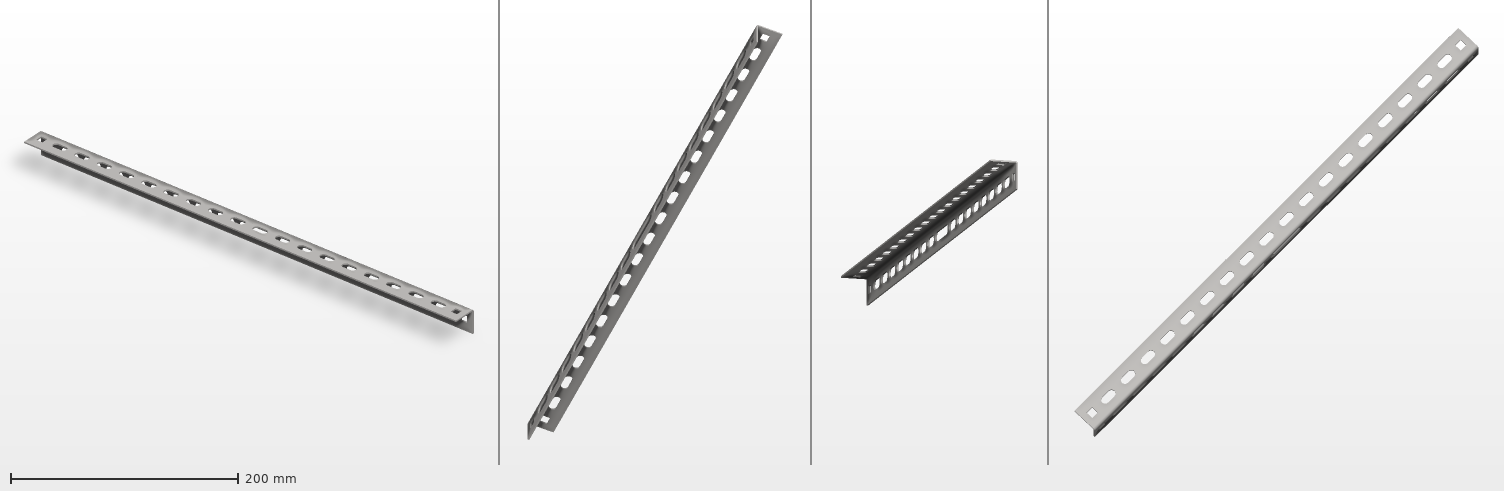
import cadquery as cq

length = 485.0
leg = 25.0
thickness = 1.5
inner_bend_radius = 1.0
outer_bend_radius = inner_bend_radius + thickness

slot_pitch = 25.0
slot_width_top = 7.0
slot_length_top = 15.0
slot_count_top = 18
slot_width_side = 9.0
slot_length_side = 20.0
slots_per_half_side = 8
long_slot_length = 40.0
slot_gap_side = slot_pitch - slot_length_side
end_hole_size = 7.0
end_hole_inset = 9.75

half_leg = leg / 2
end_hole_x = length / 2 - end_hole_inset


def angle_bar():
    """L-shaped bar along X: one leg on top, the other hanging at the +Y edge."""
    outline = (
        cq.Workplane("YZ")
        .moveTo(-half_leg, half_leg)
        .lineTo(half_leg - outer_bend_radius, half_leg)
        .radiusArc((half_leg, half_leg - outer_bend_radius), outer_bend_radius)
        .lineTo(half_leg, -half_leg)
        .lineTo(half_leg - thickness, -half_leg)
        .lineTo(half_leg - thickness, half_leg - outer_bend_radius)
        .radiusArc((half_leg - outer_bend_radius, half_leg - thickness), -inner_bend_radius)
        .lineTo(-half_leg, half_leg - thickness)
        .close()
    )
    return outline.extrude(length / 2, both=True)


def end_hole_cutter(leg_plane):
    """Square holes, one near each end of a leg."""
    points = [(-end_hole_x, 0), (end_hole_x, 0)]
    return leg_plane.pushPoints(points).rect(end_hole_size, end_hole_size).extrude(thickness)


def slot_cutter(leg_plane, centres_x, slot_length, slot_width):
    """Round-ended slots along the middle line of a leg."""
    points = [(x, 0) for x in centres_x]
    return leg_plane.pushPoints(points).slot2D(slot_length, slot_width).extrude(thickness)


def cut_top_leg(bar):
    """Evenly spaced short slots and the end holes of the horizontal leg."""
    plane = cq.Workplane("XY", origin=(0, 0, half_leg - thickness))
    first_x = -slot_pitch * (slot_count_top - 1) / 2
    centres_x = [first_x + slot_pitch * i for i in range(slot_count_top)]
    bar = bar.cut(slot_cutter(plane, centres_x, slot_length_top, slot_width_top))
    return bar.cut(end_hole_cutter(plane))


def cut_side_leg(bar):
    """Central long slot, a row of slots on each side of it, and the end holes."""
    plane = cq.Workplane("XZ", origin=(0, half_leg, 0))
    first_x = long_slot_length / 2 + slot_gap_side + slot_length_side / 2
    right_x = [first_x + slot_pitch * i for i in range(slots_per_half_side)]
    left_x = [-x for x in right_x]
    bar = bar.cut(slot_cutter(plane, left_x + right_x, slot_length_side, slot_width_side))
    bar = bar.cut(slot_cutter(plane, [0], long_slot_length, slot_width_side))
    return bar.cut(end_hole_cutter(plane))


result = cut_side_leg(cut_top_leg(angle_bar()))